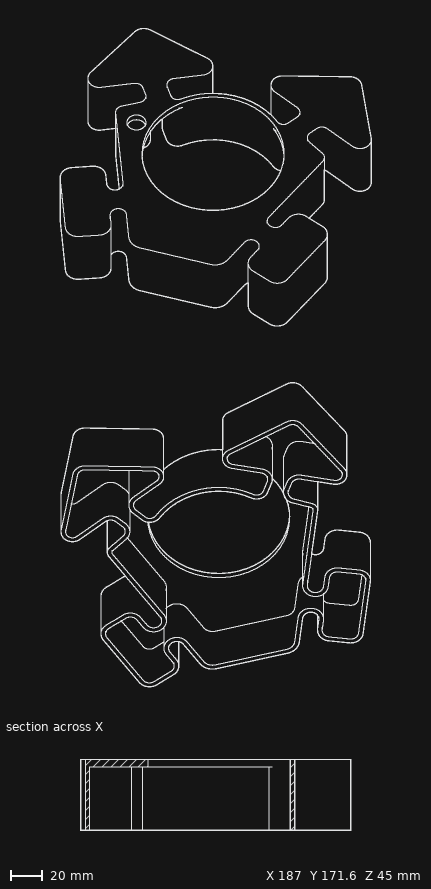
import cadquery as cq
import math



def polar(radius, angle):
    """Vector of a given length at an angle in degrees."""
    turn = math.radians(angle)
    return cq.Vector(radius * math.cos(turn), radius * math.sin(turn), 0)


def meeting_point(side_a, side_b):
    """Point where two sides cross."""
    (angle_a, distance_a), (angle_b, distance_b) = side_a, side_b
    spread = math.radians(angle_b - angle_a)
    sideways = (distance_b - distance_a * math.cos(spread)) / math.sin(spread)
    return polar(distance_a, angle_a) + polar(sideways, angle_a + 90)


OVERALL_WIDTH = 187.0
HEIGHT = 45.0
PLATE_THICKNESS = 5.0
WALL = 3.0

BORE_RADIUS = 45.0
RING_RADIUS = BORE_RADIUS + WALL

PIN_RADIUS = 6.0
PIN_CENTER = (-53.7, 10.1)

HEAD_ANGLE = 115
HEAD_FLARE = 40.5
HEAD_BASE_DISTANCE = 62.8
HEAD_BASE = (HEAD_ANGLE, HEAD_BASE_DISTANCE)
HEAD_INNER_SIDE = (HEAD_ANGLE - HEAD_FLARE, 62.7)

HEAD_TIP_RADIUS = 7.3
OUTER_TIP_CENTER = meeting_point(
    (180, OVERALL_WIDTH / 2 - HEAD_TIP_RADIUS),
    (HEAD_ANGLE, HEAD_BASE_DISTANCE + HEAD_TIP_RADIUS),
)
OUTER_SIDE_ANGLE = HEAD_ANGLE + HEAD_FLARE
OUTER_SIDE_DISTANCE = OUTER_TIP_CENTER.dot(polar(1, OUTER_SIDE_ANGLE)) + HEAD_TIP_RADIUS
HEAD_OUTER_SIDE = (OUTER_SIDE_ANGLE, OUTER_SIDE_DISTANCE)

NECK_WIDTH = 15.0
NECK_MIDDLE = 19.0
NECK_ANGLE = 214
NECK_INNER_SIDE = (NECK_ANGLE, NECK_MIDDLE - NECK_WIDTH / 2)
NECK_OUTER_SIDE = (NECK_ANGLE, NECK_MIDDLE + NECK_WIDTH / 2)

SHOULDER = (121, 51.2)
BASE = (270, 85.1)

FOOT_ANGLE = 201.2
FLANK_DISTANCE = 59.0
SLOT_WIDTH = 10.3
FOOT_DEPTH = 29.2
FOOT_LENGTH = 55.2
STEM_WIDTH = 15.0
STEM_MIDDLE = -31.0
SLOT_DISTANCE = FLANK_DISTANCE + SLOT_WIDTH
FLANK = (FOOT_ANGLE, FLANK_DISTANCE)
FOOT_INNER_SIDE = (FOOT_ANGLE, SLOT_DISTANCE)
FOOT_OUTER_SIDE = (FOOT_ANGLE, SLOT_DISTANCE + FOOT_DEPTH)
ALONG_FOOT = FOOT_ANGLE - 90
FOOT_BACK = (ALONG_FOOT, STEM_MIDDLE + FOOT_LENGTH / 2)
FOOT_FRONT = (ALONG_FOOT, STEM_MIDDLE - FOOT_LENGTH / 2)
STEM_BACK = (ALONG_FOOT, STEM_MIDDLE + STEM_WIDTH / 2)
STEM_FRONT = (ALONG_FOOT, STEM_MIDDLE - STEM_WIDTH / 2)

HEAD_PEAK_RADIUS = 7.7
NOTCH_RADIUS = 5.0
RING_NOTCH_RADIUS = 4.5
SHOULDER_RADIUS = 5.0
SLOT_RADIUS = SLOT_WIDTH / 2
FOOT_RADIUS = 8.0
BASE_RADIUS = 10.0

CORNERS = [
    (NECK_INNER_SIDE, HEAD_BASE, NOTCH_RADIUS),
    (HEAD_BASE, HEAD_INNER_SIDE, HEAD_TIP_RADIUS),
    (HEAD_INNER_SIDE, HEAD_OUTER_SIDE, HEAD_PEAK_RADIUS),
    (HEAD_OUTER_SIDE, HEAD_BASE, HEAD_TIP_RADIUS),
    (HEAD_BASE, NECK_OUTER_SIDE, NOTCH_RADIUS),
    (NECK_OUTER_SIDE, SHOULDER, NOTCH_RADIUS),
    (SHOULDER, FLANK, SHOULDER_RADIUS),
    (FLANK, STEM_BACK, SLOT_RADIUS),
    (STEM_BACK, FOOT_INNER_SIDE, SLOT_RADIUS),
    (FOOT_INNER_SIDE, FOOT_BACK, FOOT_RADIUS),
    (FOOT_BACK, FOOT_OUTER_SIDE, FOOT_RADIUS),
    (FOOT_OUTER_SIDE, FOOT_FRONT, FOOT_RADIUS),
    (FOOT_FRONT, FOOT_INNER_SIDE, FOOT_RADIUS),
    (FOOT_INNER_SIDE, STEM_FRONT, SLOT_RADIUS),
    (STEM_FRONT, FLANK, SLOT_RADIUS),
    (FLANK, BASE, BASE_RADIUS),
]

COINCIDENT = 0.0002


def line_on(path, position, target):
    """Add a line, unless the path is already at its end."""
    if (target - position).Length < COINCIDENT:
        return path
    return path.lineTo(target.x, target.y)


def arc_on(path, middle, end):
    """Add an arc through a middle point."""
    return path.threePointArc((middle.x, middle.y), (end.x, end.y))


def round_corner(before, corner, after, radius):
    """Start, middle and end of the arc that rounds a corner."""
    toward_before = (before - corner).normalized()
    toward_after = (after - corner).normalized()
    half_angle = toward_before.getAngle(toward_after) / 2
    setback = radius / math.tan(half_angle)
    bisector = (toward_before + toward_after).normalized()
    reach = radius / math.sin(half_angle) - radius
    return corner + toward_before * setback, corner + bisector * reach, corner + toward_after * setback


def ring_notch():
    """Start, middle and end of the arc joining the ring to the inner side of the neck."""
    angle, distance = NECK_INNER_SIDE
    center_distance = distance - RING_NOTCH_RADIUS
    center_reach = math.sqrt((RING_RADIUS + RING_NOTCH_RADIUS) ** 2 - center_distance ** 2)
    center = polar(center_distance, angle) + polar(center_reach, angle - 90)
    to_ring = center.normalized() * -RING_NOTCH_RADIUS
    to_neck = polar(RING_NOTCH_RADIUS, angle)
    to_middle = (to_ring + to_neck).normalized() * RING_NOTCH_RADIUS
    return center + to_ring, center + to_middle, center + to_neck


def outline():
    """Closed outline of the whole part in the XY plane."""
    notch_start, notch_middle, notch_end = ring_notch()
    ring_top = cq.Vector(0, RING_RADIUS, 0)
    ring_middle = (ring_top + notch_start).normalized() * RING_RADIUS
    path = cq.Workplane("XY").moveTo(ring_top.x, ring_top.y)
    path = arc_on(path, ring_middle, notch_start)
    path = arc_on(path, notch_middle, notch_end)

    base_middle = polar(BASE[1], BASE[0])
    corner_points = [meeting_point(side, next_side) for side, next_side, _ in CORNERS]
    stops = [notch_end] + corner_points + [base_middle]
    position = notch_end
    for index, (_, _, radius) in enumerate(CORNERS):
        start, middle, end = round_corner(*stops[index:index + 3], radius)
        path = line_on(path, position, start)
        path = arc_on(path, middle, end)
        position = end
    path = line_on(path, position, base_middle)
    return path.mirrorY()


def build_part():
    block = outline().extrude(HEIGHT)
    pocket = outline().offset2D(-WALL).extrude(HEIGHT - PLATE_THICKNESS)
    bore = cq.Workplane("XY").circle(BORE_RADIUS).extrude(HEIGHT)
    pin_hole = cq.Workplane("XY").center(*PIN_CENTER).circle(PIN_RADIUS).extrude(HEIGHT)
    return block.cut(pocket).cut(bore).cut(pin_hole)


result = build_part()